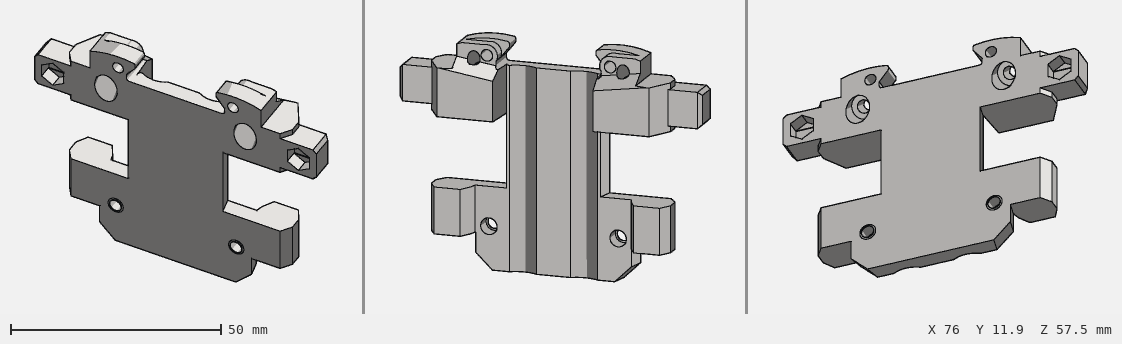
import cadquery as cq
import math


plate_thickness = 4.2
waist_half_width = 12.8
tongue_half_width = 20.5
tongue_foot_half_width = 16.3
tongue_corner_height = 4.1
side_taper = 0.9

bevel_inset = 1.9
bevel_depth = 2.7
arm_half_span = 30.1
arm_side_depth = 6.0
lower_arm_bottom = 9.05
lower_arm_top = 20.7
lower_arm_depth = 9.0
upper_arm_bottom = 39.0
upper_arm_top = 51.1
upper_arm_depth = 11.9
upper_arm_root = 12.1
upper_arm_inner_back = 12.6
back_bevel_angle = 60.0
lower_arm_root = 19.7
lower_arm_knee = 20.15

lug_end = 38.0
lug_start = 28.1
lug_height = 9.05
lug_depth = 6.7
lug_chamfer = 0.9
lug_z = (upper_arm_bottom + upper_arm_top) / 2

nut_x = 33.1
nut_flats = 5.9
nut_depth = 3.35
nut_strip_step = 0.2

tab_outer = 23.1
tab_overlap = 0.75
tab_neck = 13.2
tab_tip = 10.9
tab_crown_radius = 23.55
tab_top = 57.5
tip_bottom = 55.8
neck_top = 52.9
tip_fillet = 0.7
neck_fillet = 0.75
pin_x = 15.5
pin_z = 54.1
pin_diameter = 2.9
tab_front_depth = 4.8
tab_depth = 7.8
tab_rear_top = 56.7
tab_rear_radius = 2.65

slope_back = 11.25
slope_per_y = 0.63
slope_per_x = 0.15

inclined_x = 18.8
inclined_z = 46.4
inclined_angle = 39.5
inclined_bore = 3.2
inclined_counterbore = 6.1
inclined_counterbore_depth = 5.0

lower_hole_x = 16.3
lower_hole_z = 10.8
lower_hole_diameter = 3.2
lower_counterbore = 4.1
lower_hole_skin = 0.2

groove_x = 7.7
groove_radius = 6.4
groove_floor = 3.2

reach = 152.0


def y_prism(sketch, start, end):
    """Extrude an XZ outline from Y = start to Y = end."""
    return sketch.extrude(start - end).translate((0, start, 0))


def box(x_range, y_range, z_range):
    size = [high - low for low, high in (x_range, y_range, z_range)]
    return cq.Workplane("XY").box(*size, centered=False).translate((x_range[0], y_range[0], z_range[0]))


def y_cylinder(x, z, diameter, start, end):
    return y_prism(cq.Workplane("XZ").center(x, z).circle(diameter / 2), start, end)


def plate_outline(inset):
    waist = waist_half_width - inset
    tongue = tongue_half_width - inset
    foot = tongue_foot_half_width - inset
    right = [
        (foot, 0),
        (tongue, tongue_corner_height),
        (tongue, lower_arm_bottom),
        (waist, lower_arm_bottom),
        (waist, upper_arm_top),
    ]
    left = [(-x, z) for x, z in reversed(right)]
    return right + left


def base_plate():
    return (
        cq.Workplane("XZ")
        .polyline(plate_outline(0)).close()
        .workplane(offset=-plate_thickness)
        .polyline(plate_outline(side_taper)).close()
        .loft(ruled=True)
    )


def arm_prism(points, bottom, top):
    return cq.Workplane("XY").workplane(offset=bottom).polyline(points).close().extrude(top - bottom)


def back_bevel(depth):
    """Width of the bevel between the outer side and the back face."""
    return (depth - arm_side_depth) / math.tan(math.radians(back_bevel_angle))


def lower_arm():
    bevel = back_bevel(lower_arm_depth)
    points = [
        (0, 0),
        (arm_half_span - bevel_inset, 0),
        (arm_half_span, bevel_depth),
        (arm_half_span, arm_side_depth),
        (arm_half_span - bevel, lower_arm_depth),
        (lower_arm_knee + bevel, lower_arm_depth),
        (lower_arm_knee, arm_side_depth),
        (lower_arm_root, plate_thickness),
        (0, plate_thickness),
    ]
    return arm_prism(points, lower_arm_bottom, lower_arm_top)


def upper_arm():
    points = [
        (upper_arm_root, 0),
        (arm_half_span - bevel_inset, 0),
        (arm_half_span, bevel_depth),
        (arm_half_span, arm_side_depth),
        (arm_half_span - back_bevel(upper_arm_depth), upper_arm_depth),
        (upper_arm_inner_back, upper_arm_depth),
        (upper_arm_root, plate_thickness),
    ]
    return arm_prism(points, upper_arm_bottom, upper_arm_top)


def lug():
    z_range = (lug_z - lug_height / 2, lug_z + lug_height / 2)
    body = box((lug_start, lug_end), (0, lug_depth), z_range)
    return body.faces(">X").edges("|Y or >Y").chamfer(lug_chamfer)


def nut_pocket():
    across_corners = nut_flats / math.cos(math.pi / 6)
    side = across_corners / 2
    hexagon = cq.Workplane("XZ").center(nut_x, lug_z).transformed(rotate=(0, 0, 30)).polygon(6, across_corners)
    pocket = y_prism(hexagon, 0, nut_depth)
    strip = y_prism(
        cq.Workplane("XZ").center(nut_x, lug_z).rect(nut_flats, side), 0, nut_depth + nut_strip_step
    )
    return pocket.union(strip)


def crown_height(x):
    """Height of the arched tab top, centred above the pin hole."""
    return tab_top - tab_crown_radius + math.sqrt(tab_crown_radius**2 - (x - pin_x) ** 2)


def tab_prism(depth):
    """Hooked tab outline, rooted inside the arm, extruded back from the front face."""
    root = upper_arm_top - tab_overlap
    outline = (
        cq.Workplane("XZ")
        .moveTo(tab_outer, root)
        .lineTo(tab_outer, crown_height(tab_outer))
        .threePointArc((pin_x, tab_top), (tab_tip, crown_height(tab_tip)))
        .lineTo(tab_tip, tip_bottom)
        .lineTo(tab_neck, neck_top)
        .lineTo(tab_neck, root)
        .close()
    )
    prism = y_prism(outline, 0, depth)
    tip_zone = cq.selectors.BoxSelector(
        (tab_tip - tip_fillet, 0, pin_z), (tab_tip + tip_fillet, depth, tab_top)
    )
    prism = prism.edges("|Y").edges(tip_zone).fillet(tip_fillet)
    fillet_zone = box(
        (tab_neck - neck_fillet, tab_neck), (0, depth), (root, upper_arm_top + neck_fillet)
    )
    hollow = y_cylinder(tab_neck - neck_fillet, upper_arm_top + neck_fillet, 2 * neck_fillet, 0, depth)
    return prism.union(fillet_zone.cut(hollow))


def slope_tool():
    """Everything behind the tab and above the compound sloped face."""
    plane = cq.Plane(
        origin=(tab_outer, slope_back, upper_arm_top),
        xDir=(1, 0, slope_per_x),
        normal=(-slope_per_x, slope_per_y, 1),
    )
    above = cq.Workplane(plane).rect(reach, reach).extrude(reach)
    return above.intersect(box((0, reach), (tab_depth, reach), (0, reach)))


def tab():
    front = tab_prism(tab_front_depth)
    rear_limit = (
        box((pin_x, tab_outer), (0, upper_arm_depth), (0, tab_rear_top))
        .union(box((0, pin_x), (0, upper_arm_depth), (0, neck_top)))
        .union(y_cylinder(pin_x, pin_z, 2 * tab_rear_radius, 0, upper_arm_depth))
    )
    return front.union(tab_prism(upper_arm_depth).intersect(rear_limit))


def inclined_hole():
    """Counterbored hole rising from the front face towards the back."""
    angle = math.radians(inclined_angle)
    axis = cq.Vector(0, math.cos(angle), math.sin(angle))
    mouth = cq.Vector(inclined_x, 0, inclined_z)
    overshoot = inclined_counterbore
    start = mouth - axis * overshoot
    bore = cq.Solid.makeCylinder(inclined_bore / 2, reach, start, axis)
    counterbore = cq.Solid.makeCylinder(
        inclined_counterbore / 2, overshoot + inclined_counterbore_depth, start, axis
    )
    return cq.Workplane(bore).union(cq.Workplane(counterbore))


def lower_hole():
    bore = y_cylinder(lower_hole_x, lower_hole_z, lower_hole_diameter, 0, lower_arm_depth)
    counterbore = y_cylinder(lower_hole_x, lower_hole_z, lower_counterbore, lower_hole_skin, lower_arm_depth)
    return bore.union(counterbore)


def groove():
    return (
        cq.Workplane("XY")
        .center(groove_x, groove_floor + groove_radius)
        .circle(groove_radius)
        .extrude(upper_arm_top)
        .intersect(box((0, upper_arm_root), (0, reach), (0, reach)))
    )


plate = base_plate()
plate = plate.cut(groove()).cut(groove().mirror("YZ"))

side = upper_arm().union(tab()).cut(slope_tool())
side = side.union(lug()).union(lower_arm().cut(groove()))

cuts = (
    nut_pocket()
    .union(inclined_hole())
    .union(lower_hole())
    .union(y_cylinder(pin_x, pin_z, pin_diameter, 0, upper_arm_depth))
)

result = plate
for part in (side, side.mirror("YZ")):
    result = result.union(part)
for tool in (cuts, cuts.mirror("YZ")):
    result = result.cut(tool)